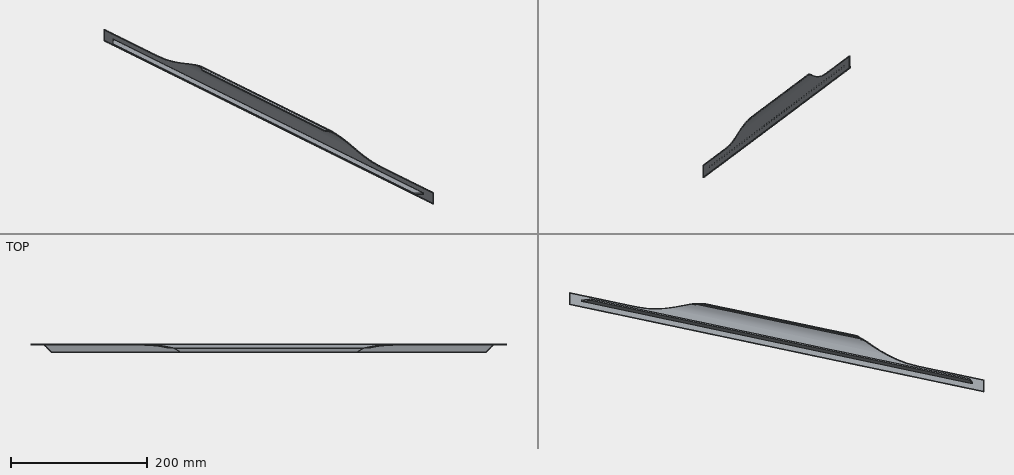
import cadquery as cq
import math

length = 696.0
depth = 12.0
height = 41.0
thickness = 1.5

end_height = 18.0
shoulder_start = 236.5
crest_half = 139.0
crest_angle = 16.0

bend_radius = 24.5
lip_root = 5.5
lip_end_setback = 10.5

shelf_bottom = 8.5
shelf_thickness = 2.0
shelf_end_gap = 19.5

half_length = length / 2


def bent_sheet():
    """Full-length sheet: upright web, arc leaning toward -Y, then a flat lip."""
    inner_radius = bend_radius - thickness
    outer_sweep = math.acos((bend_radius - lip_root) / bend_radius)
    bend_z = height - bend_radius * math.sin(outer_sweep)
    inner_sweep = math.asin((height - thickness - bend_z) / inner_radius)

    def arc_point(radius, angle):
        return (radius * math.cos(angle) - bend_radius, bend_z + radius * math.sin(angle))

    profile = (
        cq.Workplane("YZ", origin=(-half_length, 0, 0))
        .moveTo(0, 0)
        .lineTo(0, bend_z)
        .threePointArc(arc_point(bend_radius, outer_sweep / 2), arc_point(bend_radius, outer_sweep))
        .lineTo(-depth, height)
        .lineTo(-depth, height - thickness)
        .lineTo(*arc_point(inner_radius, inner_sweep))
        .threePointArc(arc_point(inner_radius, inner_sweep / 2), (-thickness, bend_z))
        .lineTo(-thickness, 0)
        .close()
    )
    return profile.extrude(length)


def front_outline():
    """Solid of the front silhouette, used to trim the sheet."""
    rise_run = shoulder_start - crest_half
    slope = math.tan(math.radians(crest_angle))
    flat = (rise_run, 0)
    outline = (
        cq.Workplane("XZ")
        .moveTo(-half_length, 0)
        .lineTo(-half_length, end_height)
        .lineTo(-shoulder_start, end_height)
        .spline([(-crest_half, height)], tangents=[flat, (rise_run, rise_run * slope)], includeCurrent=True)
        .lineTo(crest_half, height)
        .spline([(shoulder_start, end_height)], tangents=[(rise_run, -rise_run * slope), flat], includeCurrent=True)
        .lineTo(half_length, end_height)
        .lineTo(half_length, 0)
        .close()
    )
    return outline.extrude(depth)


def shelf():
    """Horizontal shelf with ends mitred at 45 degrees."""
    root_half = half_length - shelf_end_gap
    tip_half = root_half - (depth - thickness)
    return (
        cq.Workplane("XY", origin=(0, 0, shelf_bottom))
        .polyline([(-root_half, -thickness), (-root_half, 0), (root_half, 0),
                   (root_half, -thickness), (tip_half, -depth), (-tip_half, -depth)])
        .close()
        .extrude(shelf_thickness)
    )


def lip_end_cutter(side):
    """Prism that mitres one end of the lip; side is -1 or +1."""
    tip_half = crest_half - lip_end_setback
    cut_bottom = height - 2 * thickness
    return (
        cq.Workplane("XY", origin=(0, 0, cut_bottom))
        .polyline([(side * crest_half, -lip_root), (side * tip_half, -depth), (side * half_length, -depth),
                   (side * half_length, -lip_root)])
        .close()
        .extrude(height - cut_bottom)
    )


sheet = bent_sheet().intersect(front_outline())
for end in (-1, 1):
    sheet = sheet.cut(lip_end_cutter(end))
result = sheet.union(shelf())